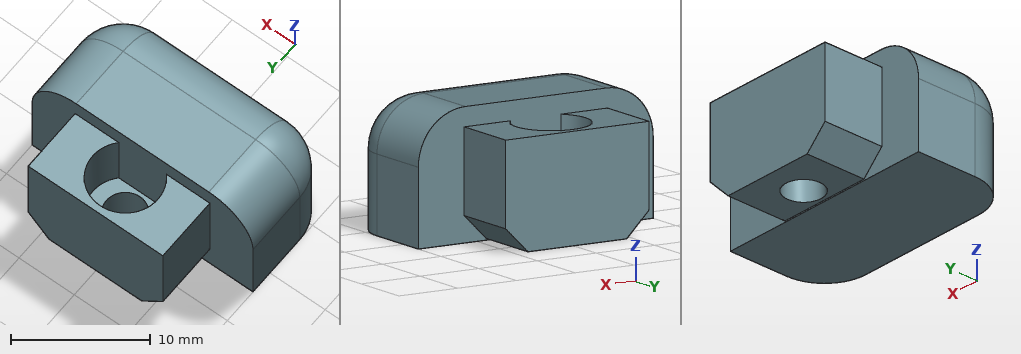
import cadquery as cq

cap_width = 20.0
cap_depth = 9.5
cap_height = 10.0
cap_radius = 4.0

tongue_width = 12.2
tongue_length = 5.52
tongue_bottom = 0.12
tongue_top = 8.52
tongue_chamfer = 1.9

hole_diameter = 3.4
counterbore_diameter = 5.9
counterbore_depth = 5.0
hole_from_cap = 2.02


def make_cap():
    """Block on Z = 0 with its back face on Y = 0, rounded at the front, sides and top."""
    block = cq.Workplane("XY").box(cap_width, cap_depth, cap_height, centered=(True, False, False))
    block = block.translate((0, -cap_depth, 0))
    front_corners = block.edges("|Z and <Y")
    rounded = front_corners.fillet(cap_radius)
    return rounded.faces(">Z").edges("not >Y").fillet(cap_radius)


def make_tongue():
    """Block behind the cap with chamfered lower side edges and a counterbored hole."""
    tongue_height = tongue_top - tongue_bottom
    block = cq.Workplane("XY").box(tongue_width, tongue_length, tongue_height, centered=(True, False, False))
    block = block.translate((0, 0, tongue_bottom))
    block = block.faces("<Z").edges("|Y").chamfer(tongue_chamfer)
    top_plane = cq.Workplane("XY", origin=(0, hole_from_cap, tongue_top))
    hole = top_plane.circle(hole_diameter / 2).extrude(-tongue_height)
    counterbore = top_plane.circle(counterbore_diameter / 2).extrude(-counterbore_depth)
    return block.cut(hole).cut(counterbore)


cap = make_cap()
tongue = make_tongue()

result = cq.Compound.makeCompound([cap.val(), tongue.val()])